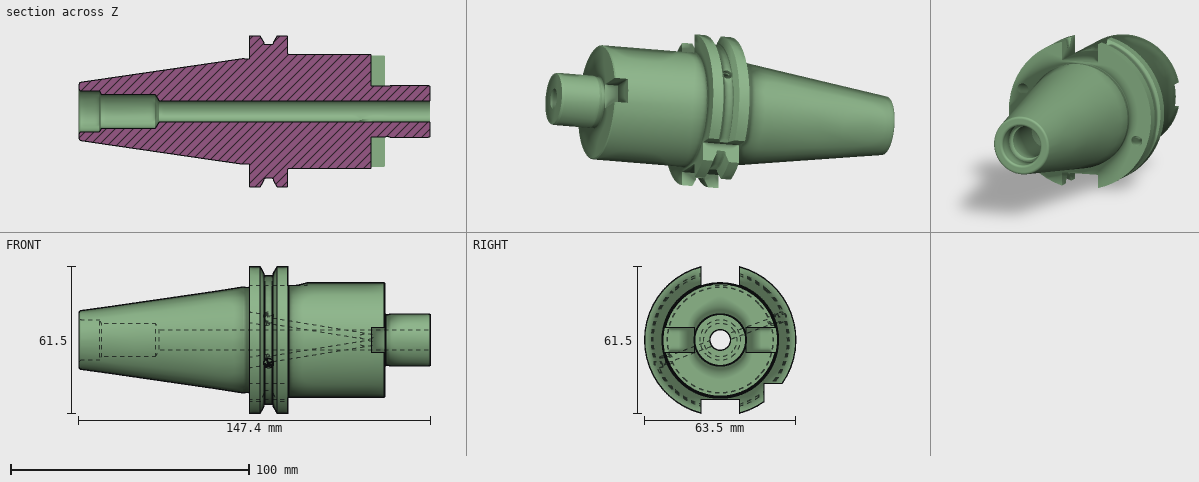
import cadquery as cq
import math


total_length = 147.4
gauge_x = 68.8
neck_x = 69.9
flange_x = 71.5
flange_width = 16.0
flange_end_x = flange_x + flange_width
body_end_x = 128.4
relief_width = 1.3
relief_end_x = body_end_x + relief_width

taper_ratio = 7 / 24
small_end_diameter = 24.5
gauge_diameter = small_end_diameter + gauge_x * taper_ratio
neck_diameter = 44.2
flange_diameter = 63.5
body_diameter = 48.0
spigot_diameter = 22.0
spigot_relief_diameter = 21.4

small_end_fillet = 1.0
neck_root_fillet = 0.3
body_root_fillet = 0.5
spigot_root_fillet = 0.3
body_chamfer = 0.5
spigot_lead_length = 1.0
spigot_lead_depth = (spigot_diameter - spigot_relief_diameter) / 2

groove_x = 79.52
groove_width = 7.1
groove_floor_diameter = 56.3
groove_flank_angle = 30
groove_floor_width = 3.8
groove_root_fillet = 0.5

through_diameter = 8.5
thread_diameter = 14.0
thread_depth = 32.0
drill_tip_half_angle = 59
counterbore_diameter = 17.0
counterbore_depth = 8.5
counterbore_cone_half_angle = 60
mouth_radius = 1.0

key_slot_width = 16.0
upper_slot_floor = 22.8
lower_slot_floor = 25.0
notch_y = 18.4
notch_z = 18.3

drive_slot_width = 10.3
drive_slot_depth = 5.7
drive_slot_floor = 10.8

port_angle = 20.4
port_radius = 27.1
port_tilt = 25
port_diameter = 4.4
port_depth = 8.8
feed_diameter = 2.5
plug_seat_diameter = 4.1
plug_seat_depth = 1.8
plug_hole_diameter = 3.2
plug_hole_depth = 4.4


def turned_body():
    """Solid of revolution: taper, neck, plain flange, body and spigot."""
    neck_radius = neck_diameter / 2
    flange_radius = flange_diameter / 2
    body_radius = body_diameter / 2
    spigot_radius = spigot_diameter / 2
    relief_radius = spigot_relief_diameter / 2
    blank = (
        cq.Workplane("XY")
        .moveTo(0, 0)
        .lineTo(0, small_end_diameter / 2)
        .lineTo(gauge_x, gauge_diameter / 2)
        .lineTo(neck_x, neck_radius)
        .lineTo(flange_x - neck_root_fillet, neck_radius)
        .radiusArc((flange_x, neck_radius + neck_root_fillet), -neck_root_fillet)
        .lineTo(flange_x, flange_radius)
        .lineTo(flange_end_x, flange_radius)
        .lineTo(flange_end_x, body_radius + body_root_fillet)
        .radiusArc((flange_end_x + body_root_fillet, body_radius), -body_root_fillet)
        .lineTo(body_end_x - body_chamfer, body_radius)
        .lineTo(body_end_x, body_radius - body_chamfer)
        .lineTo(body_end_x, relief_radius + spigot_root_fillet)
        .radiusArc((body_end_x + spigot_root_fillet, relief_radius), -spigot_root_fillet)
        .lineTo(relief_end_x, relief_radius)
        .lineTo(relief_end_x + spigot_lead_length, spigot_radius)
        .lineTo(total_length - spigot_lead_length, spigot_radius)
        .lineTo(total_length, spigot_radius - spigot_lead_depth)
        .lineTo(total_length, 0)
        .close()
        .revolve(360, (0, 0, 0), (1, 0, 0))
    )
    return blank.faces("<X").edges().fillet(small_end_fillet)


def flange_groove():
    """Ring with V flanks that end in a narrow square-sided channel with rounded corners."""
    flange_radius = flange_diameter / 2
    floor_radius = groove_floor_diameter / 2
    half_width = groove_width / 2
    half_floor = groove_floor_width / 2
    flank_depth = (half_width - half_floor) / math.tan(math.radians(groove_flank_angle))
    channel_radius = flange_radius - flank_depth
    ring = (
        cq.Workplane("XY")
        .moveTo(groove_x - half_width, flange_radius)
        .lineTo(groove_x - half_floor, channel_radius)
        .lineTo(groove_x - half_floor, floor_radius + groove_root_fillet)
        .radiusArc((groove_x - half_floor + groove_root_fillet, floor_radius), -groove_root_fillet)
        .lineTo(groove_x + half_floor - groove_root_fillet, floor_radius)
        .radiusArc((groove_x + half_floor, floor_radius + groove_root_fillet), -groove_root_fillet)
        .lineTo(groove_x + half_floor, channel_radius)
        .lineTo(groove_x + half_width, flange_radius)
        .close()
    )
    return ring.revolve(360, (0, 0, 0), (1, 0, 0))


def axial_bore():
    """Through hole, threaded length with a drill-tip end, counterbore with a rounded rim."""
    through_radius = through_diameter / 2
    thread_radius = thread_diameter / 2
    counterbore_radius = counterbore_diameter / 2
    cone_slope = math.tan(math.radians(counterbore_cone_half_angle))
    cone_length = (counterbore_radius - thread_radius) / cone_slope
    tip_length = (thread_radius - through_radius) / math.tan(math.radians(drill_tip_half_angle))
    return (
        cq.Workplane("XY")
        .moveTo(0, 0)
        .lineTo(0, counterbore_radius + mouth_radius)
        .radiusArc((mouth_radius, counterbore_radius), -mouth_radius)
        .lineTo(counterbore_depth, counterbore_radius)
        .lineTo(counterbore_depth + cone_length, thread_radius)
        .lineTo(thread_depth, thread_radius)
        .lineTo(thread_depth + tip_length, through_radius)
        .lineTo(total_length, through_radius)
        .lineTo(total_length, 0)
        .close()
        .revolve(360, (0, 0, 0), (1, 0, 0))
    )


def key_slots():
    """Upper slot with a round end running into the body, and a lower slot through the flange."""
    half_width = key_slot_width / 2
    height = flange_diameter / 2
    upper = (
        cq.Workplane("XY", origin=(0, 0, upper_slot_floor))
        .moveTo(flange_x, -half_width)
        .lineTo(flange_end_x, -half_width)
        .radiusArc((flange_end_x, half_width), -half_width)
        .lineTo(flange_x, half_width)
        .close()
        .extrude(height - upper_slot_floor)
    )
    lower = (
        cq.Workplane("XY", origin=(flange_x, 0, -lower_slot_floor))
        .box(flange_width, key_slot_width, height, centered=(False, True, False))
        .translate((0, 0, -height))
    )
    return upper.union(lower)


def corner_notch():
    """Square notch through the flange rim on the +Y, -Z side."""
    size = flange_diameter / 2
    return cq.Workplane("XY").box(flange_width, size, size, centered=False).translate(
        (flange_x, notch_y, -notch_z - size)
    )


def drive_slot(side):
    """Slot in the body end face, on the +Y (side = 1) or -Y (side = -1) flank."""
    radial_depth = body_diameter / 2 - drive_slot_floor
    return cq.Workplane("XY").box(drive_slot_depth, radial_depth, drive_slot_width).translate(
        (body_end_x - drive_slot_depth / 2, side * (drive_slot_floor + radial_depth / 2), 0)
    )


def drilled_hole(diameter, depth, mouth, direction):
    """Plain cylinder that starts at the mouth point and runs along the direction."""
    return cq.Workplane(cq.Solid.makeCylinder(diameter / 2, depth, mouth, direction))


def coolant_port():
    """Tilted port and feed from the flange face to the bore, with a stepped plug hole in the groove."""
    tilt = math.radians(port_tilt)
    inward = cq.Vector(math.cos(tilt), -math.sin(tilt), 0)
    face_point = cq.Vector(flange_x, port_radius, 0)
    outside_point = face_point - inward * port_diameter
    port = drilled_hole(port_diameter, port_depth + port_diameter, outside_point, inward)
    feed = drilled_hole(feed_diameter, port_radius / math.sin(tilt), face_point, inward)

    groove_rim = cq.Vector(groove_x, flange_diameter / 2, 0)
    to_axis = cq.Vector(0, -1, 0)
    floor_depth = (flange_diameter - groove_floor_diameter) / 2
    plug_seat = drilled_hole(plug_seat_diameter, floor_depth + plug_seat_depth, groove_rim, to_axis)
    plug_hole = drilled_hole(plug_hole_diameter, floor_depth + plug_hole_depth, groove_rim, to_axis)
    return port.union(feed).union(plug_seat).union(plug_hole)


result = turned_body().cut(flange_groove()).cut(axial_bore()).cut(key_slots()).cut(corner_notch())
for side in (1, -1):
    result = result.cut(drive_slot(side))
for turn in (0, 180):
    result = result.cut(coolant_port().rotate((0, 0, 0), (1, 0, 0), port_angle + turn))